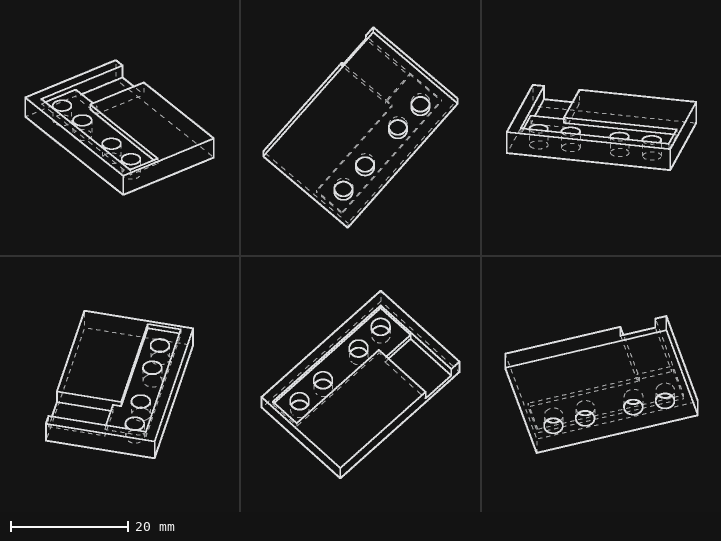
import cadquery as cq

length = 28.75
width = 19.1
thickness = 4.0

left_wall = 2.0
front_wall = 2.0
right_wall = 0.75

pocket_depth = 1.0
pocket_width = 5.8
pocket_length = length - left_wall - right_wall

channel_width = 6.2
channel_depth = 2.5
channel_start = 9.25

hole_diameter = 3.2
first_hole = (4.525, 4.54)
hole_row_y = 4.8
hole_row_x = [10.105, 18.68, 24.34]
hole_centers = [first_hole] + [(x, hole_row_y) for x in hole_row_x]


def recess(x_start, y_start, x_size, y_size, depth):
    """Box that cuts down from the top face to the given depth."""
    corner = (x_start, y_start, thickness - depth)
    return cq.Workplane("XY").box(x_size, y_size, depth, centered=False).translate(corner)


plate = cq.Workplane("XY").box(length, width, thickness, centered=False)

pocket = recess(left_wall, front_wall, pocket_length, pocket_width, pocket_depth)
channel_entry = recess(left_wall, front_wall, channel_width, channel_start - front_wall, pocket_depth)
channel = recess(left_wall, channel_start, channel_width, width - channel_start, channel_depth)

holes = cq.Workplane("XY").pushPoints(hole_centers).circle(hole_diameter / 2).extrude(thickness)

result = plate.cut(pocket).cut(channel_entry).cut(channel).cut(holes)